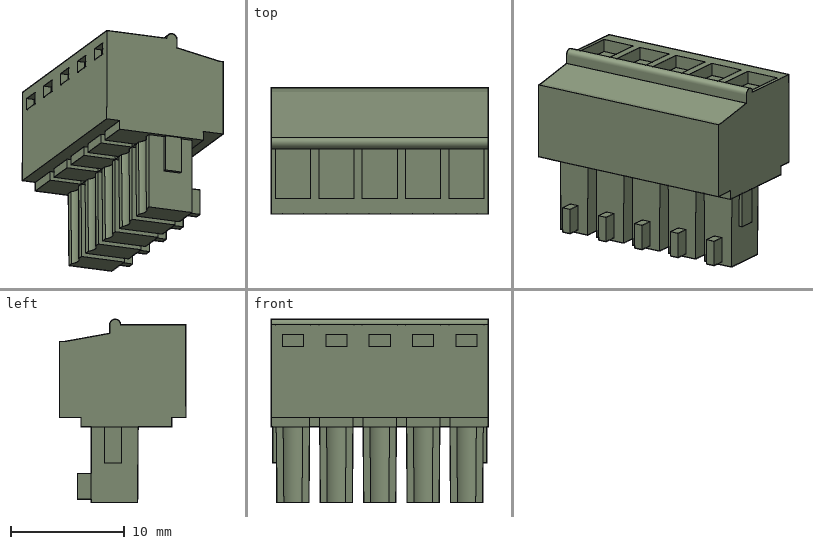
import cadquery as cq

POLE_COUNT = 5
PITCH = 3.81

BAR_FRONT = 5.73
BAR_BACK = 6.7
BAR_RADIUS = (BAR_BACK - BAR_FRONT) / 2
BAR_TOP = 16.1

HOUSING_LENGTH = POLE_COUNT * PITCH
HOUSING_DEPTH = 11.1
HOUSING_BOTTOM = 7.45
HOUSING_TOP = BAR_TOP - BAR_RADIUS
FRONT_LEAN = 0.02
BACK_TOP = 14.14
BACK_LEDGE = 0.4
SLOPE_TOP = 14.85

SKIRT_BOTTOM = 6.65
SKIRT_FRONT = 1.24
SKIRT_BACK = 9.22

POCKET_WIDTH = 3.09
POCKET_FRONT = 1.35
POCKET_DEPTH = 1.12
WINDOW_WIDTH = 1.85
WINDOW_BOTTOM = 13.72
WINDOW_TOP = 14.75
WINDOW_DEPTH = 0.7

PLUG_WIDTH = 2.93
PLUG_FRONT = 4.2
PLUG_BACK = 8.32
TIP_INSET = 0.048
GROOVE_WIDTH = 1.71
GROOVE_DEPTH = 0.32

LATCH_WIDTH = 0.8
LATCH_BOTTOM = 0.29
LATCH_TOP = 2.55
LATCH_BACK = 9.55

KEY_FRONT = 5.65
KEY_BACK = 7.16
KEY_BOTTOM = 3.49
KEY_OUTER_X = 9.4

pole_centers = [(i - (POLE_COUNT - 1) / 2) * PITCH for i in range(POLE_COUNT)]
notch_centers = [x + PITCH / 2 for x in pole_centers[:-1]]


def block(x_range, y_range, z_range):
    """Box between the given limits."""
    (x0, x1), (y0, y1), (z0, z1) = x_range, y_range, z_range
    return cq.Workplane("XY").box(x1 - x0, y1 - y0, z1 - z0, centered=False).translate((x0, y0, z0))


def centered_span(center, width):
    return (center - width / 2, center + width / 2)


def make_housing_shell():
    """Side profile of the housing, bar and skirt, extruded along the row."""
    return (
        cq.Workplane("YZ")
        .moveTo(0, HOUSING_BOTTOM)
        .lineTo(FRONT_LEAN, HOUSING_TOP)
        .lineTo(BAR_FRONT, HOUSING_TOP)
        .threePointArc((BAR_FRONT + BAR_RADIUS, BAR_TOP), (BAR_BACK, HOUSING_TOP))
        .lineTo(BAR_BACK, SLOPE_TOP)
        .lineTo(HOUSING_DEPTH - BACK_LEDGE, BACK_TOP)
        .lineTo(HOUSING_DEPTH, BACK_TOP)
        .lineTo(HOUSING_DEPTH, HOUSING_BOTTOM)
        .lineTo(SKIRT_BACK, HOUSING_BOTTOM)
        .lineTo(SKIRT_BACK, SKIRT_BOTTOM)
        .lineTo(SKIRT_FRONT, SKIRT_BOTTOM)
        .lineTo(SKIRT_FRONT, HOUSING_BOTTOM)
        .close()
        .extrude(HOUSING_LENGTH / 2, both=True)
    )


def make_housing():
    housing = make_housing_shell()
    for x in pole_centers:
        pocket = block(
            centered_span(x, POCKET_WIDTH),
            (POCKET_FRONT, BAR_FRONT),
            (HOUSING_TOP - POCKET_DEPTH, HOUSING_TOP),
        )
        window = block(
            centered_span(x, WINDOW_WIDTH),
            (0, WINDOW_DEPTH),
            (WINDOW_BOTTOM, WINDOW_TOP),
        )
        housing = housing.cut(pocket).cut(window)
    for x in notch_centers:
        notch = block(
            centered_span(x, PITCH - PLUG_WIDTH),
            (SKIRT_FRONT, PLUG_FRONT),
            (SKIRT_BOTTOM, HOUSING_BOTTOM),
        )
        housing = housing.cut(notch)
    return housing


def plug_section(x, inset, z):
    """Level rectangle across a plug, its front and sides moved in by the inset."""
    width = PLUG_WIDTH - 2 * inset
    depth = PLUG_BACK - PLUG_FRONT - inset
    return cq.Wire.makePolygon(
        [
            cq.Vector(x - width / 2, PLUG_BACK - depth, z),
            cq.Vector(x + width / 2, PLUG_BACK - depth, z),
            cq.Vector(x + width / 2, PLUG_BACK, z),
            cq.Vector(x - width / 2, PLUG_BACK, z),
        ],
        close=True,
    )


def make_plug(x):
    """Tapered plug with an upright round groove in its front and a latch on its back."""
    sections = [plug_section(x, TIP_INSET, 0), plug_section(x, 0, SKIRT_BOTTOM)]
    body = cq.Workplane(obj=cq.Solid.makeLoft(sections, ruled=True))
    groove_radius = (GROOVE_WIDTH**2 / 4 + GROOVE_DEPTH**2) / (2 * GROOVE_DEPTH)
    groove = (
        cq.Workplane("XY")
        .center(x, PLUG_FRONT + GROOVE_DEPTH - groove_radius)
        .circle(groove_radius)
        .extrude(SKIRT_BOTTOM)
    )
    latch = block(
        centered_span(x, LATCH_WIDTH),
        (PLUG_BACK, LATCH_BACK),
        (LATCH_BOTTOM, LATCH_TOP),
    )
    return body.cut(groove).union(latch)


def make_key(plug_x):
    """Rib from the middle of an end plug out past its outer side."""
    outer_x = KEY_OUTER_X if plug_x > 0 else -KEY_OUTER_X
    return block(sorted((plug_x, outer_x)), (KEY_FRONT, KEY_BACK), (KEY_BOTTOM, SKIRT_BOTTOM))


housing = make_housing()

plugs = []
for x in pole_centers:
    plug = make_plug(x)
    if x in (pole_centers[0], pole_centers[-1]):
        plug = plug.union(make_key(x))
    plugs.append(plug)

result = cq.Compound.makeCompound([housing.val(), *[plug.val() for plug in plugs]])